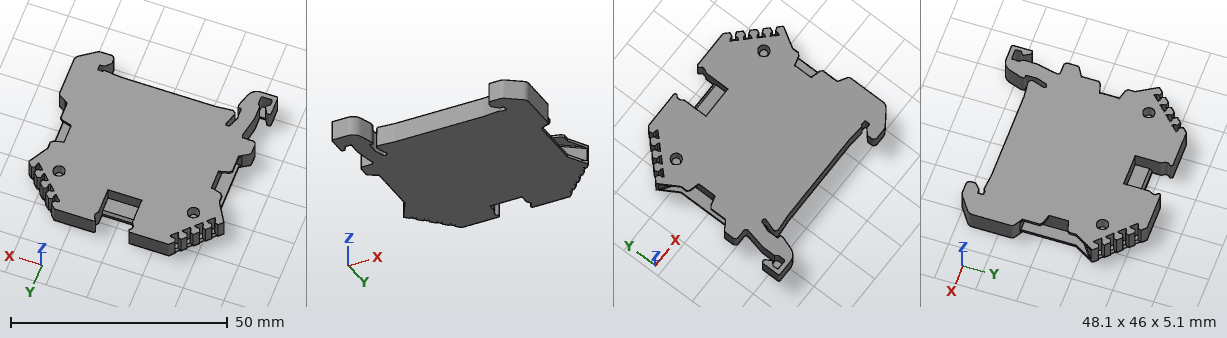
import cadquery as cq
import math


thickness = 5.1
height = 46.0
mid_side_x = 21.1
head_edge_x = 14.05
tip_x = 24.0
tip_radius = 0.4
tip_y = height - (tip_x - head_edge_x)
shoulder_x = 23.6
flank_top_y = 31.1
flank_bottom_y = 18.05
base_y = 7.25
foot_x = -24.2

notch_half_width = 4.15
notch_floor_y = 36.9
ledge_end_y = 41.05
ledge_chamfer = 0.63
ledge_top_z = 1.45

pocket_wall = 0.65
pocket_inner_x = 18.1
pocket_corner_y = 31.5
pocket_mouth_y = 35.8
pocket_bevel = 0.25
pocket_end_y = 17.65
window_inner_y = (23.5, 28.25)
window_outer_y = (22.8, 28.85)
window_outer_x = 20.5
window_flare = 0.55

slot_count = 4
slot_pitch = 3.15
slot_floor_z = 0.4
slot_floor_start = 0.25
slot_neck_depth = 0.85
slot_neck_half_width = 0.4
slot_mouth_half_width = 0.75
slot_bell_start = 1.55
slot_bell_half_width = 0.9
slot_depth = 2.0
slot_end_half_width = 1.0
overrun = 0.5

hole_x = 16.5
hole_y = 36.0
hole_top_radius = 1.4
hole_bottom_radius = 1.0
hole_depth = 2.4

hook_floor_z = 0.65
hook_floor_y = 3.85
hook_bottom_y = 1.15
hook_shoulder_y = 3.1
hook_inner_x = -20.5
hook_outer_x = -23.25


def rounded_outline(corners):
    """Closed wire through (x, y, radius) corners; a radius of 0 leaves the corner sharp."""
    arcs = []
    for i, (x, y, radius) in enumerate(corners):
        corner = cq.Vector(x, y)
        before = corners[i - 1]
        after = corners[(i + 1) % len(corners)]
        to_before = (cq.Vector(before[0], before[1]) - corner).normalized()
        to_after = (cq.Vector(after[0], after[1]) - corner).normalized()
        half_angle = to_before.getAngle(to_after) / 2
        setback = radius / math.tan(half_angle)
        bisector = (to_before + to_after).normalized()
        middle = corner + bisector * (radius / math.sin(half_angle) - radius)
        arcs.append((corner + to_before * setback, middle, corner + to_after * setback, radius))
    edges = []
    for i, (start, middle, end, radius) in enumerate(arcs):
        if radius > 0:
            edges.append(cq.Edge.makeThreePointArc(start, middle, end))
        edges.append(cq.Edge.makeLine(end, arcs[(i + 1) % len(arcs)][0]))
    return cq.Wire.assembleEdges(edges)


def prism(corners, bottom_z, top_z):
    """Solid between two heights with a rounded outline."""
    solid = cq.Solid.extrudeLinear(rounded_outline(corners), [], cq.Vector(0, 0, top_z - bottom_z))
    return cq.Workplane(solid.translate(cq.Vector(0, 0, bottom_z)))


def both_sides(solid):
    """A right-hand solid together with its mirror image."""
    return solid.union(solid.mirror("YZ"))


def mirrored(corners):
    return [(-x, y, radius) for x, y, radius in reversed(corners)]


def body():
    """Full-thickness plate, outlined counter-clockwise in (x, y, radius) corners."""
    notch_side = [
        (4.1, height, 0.45),
        (4.15, 45.35, 0.25),
        (4.65, 44.85, 0.3),
        (4.65, 44.1, 0.3),
        (notch_half_width, 43.2, 0.25),
        (notch_half_width, notch_floor_y, 0),
    ]
    head = [
        (mid_side_x, flank_top_y, 0),
        (tip_x, tip_y, tip_radius),
        (head_edge_x, height, 0.15),
        *notch_side,
        *mirrored(notch_side),
        (-head_edge_x, height, 0.15),
        (-tip_x, tip_y, 0),
        (-mid_side_x, flank_top_y, 0),
    ]
    spring_foot = [
        (-mid_side_x, flank_bottom_y, 0),
        (-shoulder_x, 16.55, 0.7),
        (-shoulder_x, 13.1, 0.85),
        (-19.83, 13.1, 0.63),
        (-mid_side_x, 7.25, 1.45),
        (-mid_side_x, hook_floor_y, 0),
        (hook_inner_x, hook_shoulder_y, 0.6),
        (hook_inner_x, hook_bottom_y, 0.4),
        (hook_outer_x, hook_bottom_y, 0.35),
        (hook_outer_x, 2.55, 0.1),
        (-22.3, 3.35, 0.25),
        (-23.3, 5.1, 0.25),
        (foot_x, 5.1, 0.4),
        (foot_x, 0, 0.4),
        (-18.05, 0, 2.7),
        (-16.4, 4.75, 0.4),
        (-16.4, 5.77, 0.1),
        (-17.28, 5.77, 0.15),
        (-17.28, 8.6, 0.2),
        (-16.3, 11.2, 0.45),
        (-15.2, 11.2, 0.45),
        (-16.45, 7.45, 0.45),
        (-15.65, 6.9, 0.35),
    ]
    rail_hook = [
        (-11.35, base_y, 0),
        (11.75, base_y, 0),
        (16.0, 6.9, 0.25),
        (16.25, 7.25, 0.1),
        (17.45, 7.15, 0.2),
        (17.45, 5.85, 0.2),
        (16.35, 5.8, 0.7),
        (14.95, 4.5, 0.4),
        (14.95, 2.45, 0.95),
        (18.85, 2.45, 1.92),
        (shoulder_x, 5.77, 1.65),
        (shoulder_x, 16.55, 0.7),
        (mid_side_x, flank_bottom_y, 0),
    ]
    return prism(head + spring_foot + rail_hook, 0, thickness)


def notch_ledge():
    """Shelf across the screwdriver notch, bevelled along its free upper edge."""
    depth = ledge_end_y - notch_floor_y
    shelf = cq.Workplane().box(2 * notch_half_width, depth, ledge_top_z, centered=(True, False, False))
    shelf = shelf.faces(">Y").edges(">Z").chamfer(ledge_chamfer)
    return shelf.translate((0, notch_floor_y, 0))


def hook_floor():
    """Thin floor closing the recess of the spring foot."""
    outline = [
        (hook_outer_x, hook_bottom_y, 0),
        (hook_inner_x, hook_bottom_y, 0),
        (hook_inner_x, hook_shoulder_y, 0),
        (-mid_side_x, hook_floor_y, 0),
        (hook_outer_x, hook_floor_y, 0),
    ]
    return prism(outline, 0, hook_floor_z)


def flank_pocket():
    """Right-hand pocket between the two side walls, with the window through the upper wall."""
    beyond = tip_x + overrun
    outline = [
        (pocket_inner_x, pocket_end_y, 0),
        (beyond, pocket_end_y, 0),
        (beyond, pocket_mouth_y, 0),
        (tip_x, pocket_mouth_y, 0),
        (pocket_inner_x, pocket_corner_y, 0),
    ]
    slope = cq.Vector(tip_x - pocket_inner_x, pocket_mouth_y - pocket_corner_y)
    pocket = prism(outline, pocket_wall, thickness - pocket_wall)
    pocket = pocket.edges(cq.selectors.ParallelDirSelector(slope)).chamfer(pocket_bevel)
    lower, upper = window_inner_y
    outer_lower, outer_upper = window_outer_y
    window = [
        (pocket_inner_x, lower, 0),
        (window_outer_x, outer_lower, 0.4),
        (mid_side_x, outer_lower - window_flare, 0),
        (beyond, outer_lower - window_flare, 0),
        (beyond, outer_upper + window_flare, 0),
        (mid_side_x, outer_upper + window_flare, 0),
        (window_outer_x, outer_upper, 0.4),
        (pocket_inner_x, upper, 0),
    ]
    return pocket.union(prism(window, thickness / 2, thickness))


def marker_slot(distance):
    """Right-hand marker slot, at a distance along the 45-degree edge from the flat top."""
    half_profile = [
        (slot_mouth_half_width, -overrun, 0),
        (slot_mouth_half_width, 0, 0),
        (slot_neck_half_width, slot_neck_depth, 0),
        (slot_bell_half_width, slot_bell_start, 0),
        (slot_end_half_width, slot_depth, 0),
    ]
    profile = mirrored(half_profile) + half_profile
    slot = prism(profile, 0, thickness)
    floor = (
        cq.Workplane("YZ")
        .moveTo(slot_floor_start, 0)
        .lineTo(slot_neck_depth, slot_floor_z)
        .lineTo(slot_depth, slot_floor_z)
        .lineTo(slot_depth, 0)
        .close()
        .extrude(slot_end_half_width, both=True)
    )
    along = distance * math.sqrt(0.5)
    return (
        slot.cut(floor)
        .rotate((0, 0, 0), (0, 0, 1), 135)
        .translate((head_edge_x + along, height - along, 0))
    )


def test_hole():
    """Right-hand blind hole, tapering from the upper face."""
    cone = cq.Solid.makeCone(hole_bottom_radius, hole_top_radius, hole_depth)
    return cq.Workplane(cone).translate((hole_x, hole_y, thickness - hole_depth))


result = body().union(notch_ledge()).union(hook_floor())
result = result.cut(both_sides(flank_pocket())).cut(both_sides(test_hole()))
edge_length = (tip_x - head_edge_x) * math.sqrt(2)
first_slot = (edge_length - (slot_count - 1) * slot_pitch) / 2
for index in range(slot_count):
    result = result.cut(both_sides(marker_slot(first_slot + index * slot_pitch)))